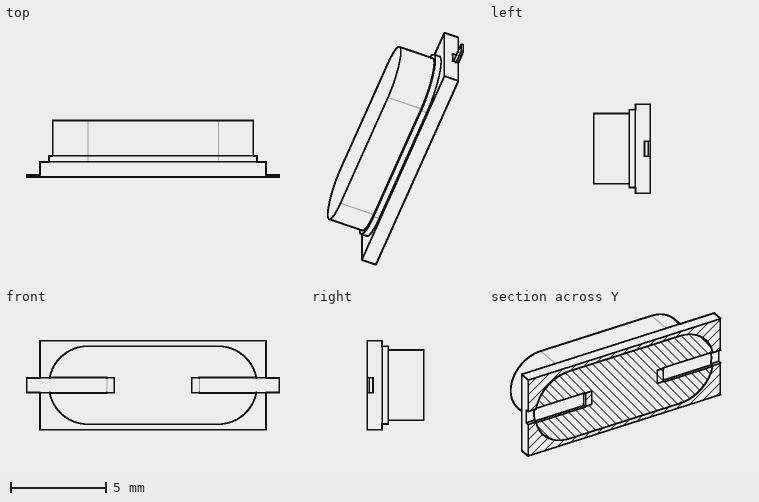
import cadquery as cq

LENGTH = 13.3
HEIGHT = 2.99
MOUNT_Y = -HEIGHT / 2

PLATE_LENGTH = 11.9
PLATE_WIDTH = 4.7
PLATE_THICKNESS = 0.8

END_CENTRE_SPACING = 6.85
FOOT_WIDTH = 4.11
FOOT_HEIGHT = 1.12
CAP_WIDTH = 3.71

LEAD_WIDTH = 0.77
LEAD_THICKNESS = 0.12
PIN_INNER_X = 2.05
PIN_OUTER_X = 2.42
PIN_HEIGHT = FOOT_HEIGHT

NOTCH_DEPTH = 0.33
GROOVE_DEPTH = 0.29
GROOVE_WIDTH = 0.85

SIDES = (-1, 1)


def block(x_start, x_end, width, height):
    """Box standing on the mounting face, centred across Z."""
    return cq.Workplane("XY").box(abs(x_end - x_start), height, width).translate(
        ((x_start + x_end) / 2, MOUNT_Y + height / 2, 0)
    )


def stadium(width, height):
    """Round-ended block standing on the mounting face."""
    return (
        cq.Workplane("XZ", origin=(0, MOUNT_Y, 0))
        .slot2D(END_CENTRE_SPACING + width, width)
        .extrude(-height)
    )


def make_plate():
    """Base plate with an opening for the can and a notch under each lead."""
    half_length = PLATE_LENGTH / 2
    plate = block(-half_length, half_length, PLATE_WIDTH, PLATE_THICKNESS)
    notches = block(-half_length, half_length, LEAD_WIDTH, NOTCH_DEPTH)
    return plate.cut(stadium(FOOT_WIDTH, PLATE_THICKNESS)).cut(notches)


def make_can():
    """Stepped can with a groove for each strip and a blind hole for each pin."""
    can = stadium(FOOT_WIDTH, FOOT_HEIGHT).union(stadium(CAP_WIDTH, HEIGHT))
    for side in SIDES:
        groove = block(side * PIN_OUTER_X, side * LENGTH / 2, GROOVE_WIDTH, GROOVE_DEPTH)
        pin_hole = block(side * PIN_INNER_X, side * PIN_OUTER_X, LEAD_WIDTH, PIN_HEIGHT)
        can = can.cut(groove).cut(pin_hole)
    return can


def make_lead(side):
    """L-shaped lead; the strip and the pin end stay two flush faces."""
    strip = block(side * PIN_OUTER_X, side * LENGTH / 2, LEAD_WIDTH, LEAD_THICKNESS)
    pin = block(side * PIN_INNER_X, side * PIN_OUTER_X, LEAD_WIDTH, PIN_HEIGHT)
    return strip.union(pin, clean=False)


plate = make_plate()
can = make_can()
leads = [make_lead(side) for side in SIDES]

bodies = [plate, can, *leads]
result = cq.Compound.makeCompound([body.solids().val() for body in bodies])